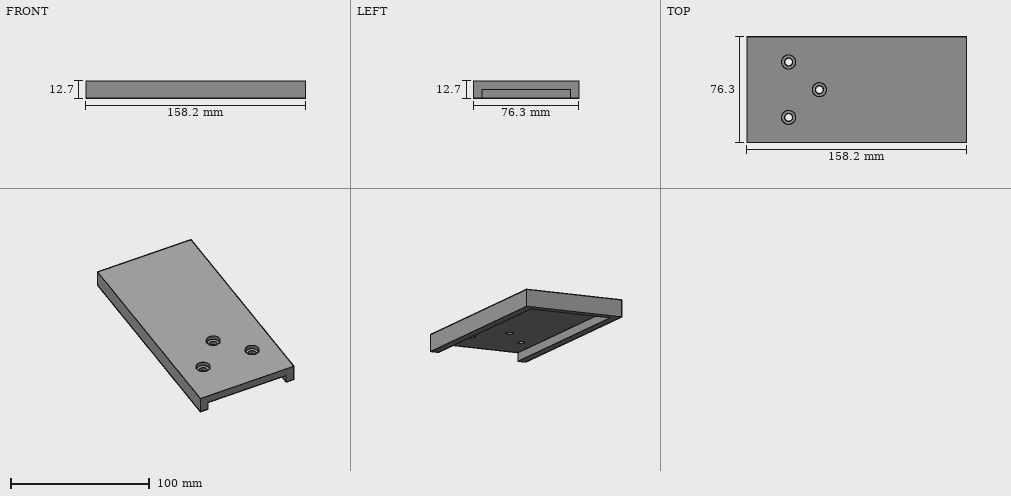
import cadquery as cq

length = 158.2
width = 76.3
height = 12.7

wall = 6.3
roof = 6.3
channel_length = length - wall
channel_width = width - 2 * wall
channel_height = height - roof

hole_diameter = 5.5
counterbore_diameter = 10.1
counterbore_depth = 3.2
pair_x = 30.0
pair_offset_y = 20.0
single_x = 52.2
hole_positions = [
    (pair_x, -pair_offset_y),
    (pair_x, pair_offset_y),
    (single_x, 0),
]

plate = cq.Workplane("XY").box(length, width, height, centered=(False, True, False))
channel = cq.Workplane("XY").box(
    channel_length, channel_width, channel_height, centered=(False, True, False)
)

result = (
    plate.cut(channel)
    .faces(">Z")
    .workplane(origin=(0, 0, height))
    .pushPoints(hole_positions)
    .cboreHole(hole_diameter, counterbore_diameter, counterbore_depth)
)